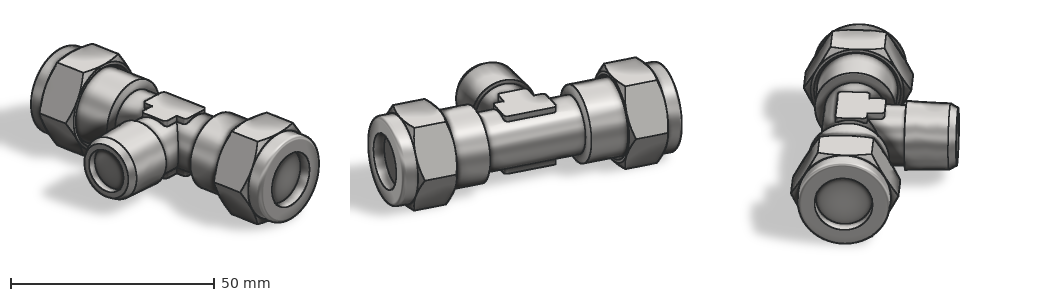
import cadquery as cq
import math

RUN_HALF_LENGTH = 37.5
RUN_RADIUS = 7.5
COLLAR_START = 13.0
COLLAR_RADIUS = 9.95
COLLAR_SHOULDER_LENGTH = 0.45
COLLAR_CHAMFER_LENGTH = 0.1
COLLAR_CHAMFER_DEPTH = 0.3

NUT_INNER_END = 23.0
NUT_OUTER_END = 33.5
NUT_ACROSS_FLATS = 23.0
NUT_ACROSS_CORNERS = NUT_ACROSS_FLATS / math.cos(math.pi / 6)
NUT_FACE_RADIUS = NUT_ACROSS_FLATS / 2
NUT_RECESS_RADIUS = 10.7
NUT_RECESS_DEPTH = 1.0
NUT_CHAMFER_ANGLE = math.radians(30)
RIM_RADIUS = 11.4
RIM_FILLET = 1.0

SOCKET_MOUTH_RADIUS = 7.15
SOCKET_FLOOR_RADIUS = 6.95
SOCKET_DEPTH = 2.8

BRANCH_RADIUS = 7.5
BRANCH_END = 26.0
THREAD_START = 13.3
THREAD_RADIUS = 8.55
THREAD_TAPER = 1 / 16
THREAD_CHAMFER_LENGTH = 1.9
THREAD_TIP_RADIUS = 7.15
BRANCH_BORE_RADIUS = 5.6
BRANCH_BORE_DEPTH = 2.2

PAD_HEIGHT = 8.0
PAD_WIDTH = 14.0
PAD_BACK = 3.8
PAD_SHOULDER = 4.0
PAD_STEM_WIDTH = 8.0
PAD_STEM_END = 8.2
PAD_CORNER_RADIUS = 1.0


def revolved_about_x(points):
    """Full revolution about X of a closed profile of (x, radius) points."""
    return cq.Workplane("XY").polyline(points).close().revolve(360, (0, 0, 0), (1, 0, 0))


def make_nut():
    """Hexagonal nut with its corners along Y, turned down conically at both ends.

    A conical recess in the inner face surrounds the collar.
    """
    length = NUT_OUTER_END - NUT_INNER_END
    hexagon = (
        cq.Workplane("YZ", origin=(NUT_INNER_END, 0, 0))
        .polygon(6, NUT_ACROSS_CORNERS)
        .extrude(length)
    )
    corner_radius = NUT_ACROSS_CORNERS / 2
    chamfer_length = (corner_radius - NUT_FACE_RADIUS) * math.tan(NUT_CHAMFER_ANGLE)
    envelope = revolved_about_x([
        (NUT_INNER_END, 0),
        (NUT_INNER_END, NUT_FACE_RADIUS),
        (NUT_INNER_END + chamfer_length, corner_radius),
        (NUT_OUTER_END - chamfer_length, corner_radius),
        (NUT_OUTER_END, NUT_FACE_RADIUS),
        (NUT_OUTER_END, 0),
    ])
    recess = revolved_about_x([
        (NUT_INNER_END, 0),
        (NUT_INNER_END, NUT_RECESS_RADIUS),
        (NUT_INNER_END + NUT_RECESS_DEPTH, COLLAR_RADIUS),
        (NUT_INNER_END + NUT_RECESS_DEPTH, 0),
    ])
    return hexagon.intersect(envelope).cut(recess)


def make_run_end():
    """Collar, nut, rounded rim and blind socket on the +X end of the run."""
    shoulder_end = COLLAR_START + COLLAR_SHOULDER_LENGTH
    collar = revolved_about_x([
        (COLLAR_START, 0),
        (COLLAR_START, RUN_RADIUS),
        (shoulder_end, COLLAR_RADIUS - COLLAR_CHAMFER_DEPTH),
        (shoulder_end + COLLAR_CHAMFER_LENGTH, COLLAR_RADIUS),
        (NUT_OUTER_END, COLLAR_RADIUS),
        (NUT_OUTER_END, 0),
    ])
    rim = (
        cq.Workplane("YZ", origin=(NUT_OUTER_END, 0, 0))
        .circle(RIM_RADIUS)
        .extrude(RUN_HALF_LENGTH - NUT_OUTER_END)
        .faces(">X").edges().fillet(RIM_FILLET)
    )
    socket_floor = RUN_HALF_LENGTH - SOCKET_DEPTH
    socket = revolved_about_x([
        (socket_floor, 0),
        (socket_floor, SOCKET_FLOOR_RADIUS),
        (RUN_HALF_LENGTH, SOCKET_MOUTH_RADIUS),
        (RUN_HALF_LENGTH, 0),
    ])
    return collar.union(make_nut()).union(rim).cut(socket)


def make_run():
    """Plain cylinder joining the two collars."""
    return (
        cq.Workplane("YZ", origin=(-COLLAR_START, 0, 0))
        .circle(RUN_RADIUS)
        .extrude(2 * COLLAR_START)
    )


def make_branch():
    """Neck and tapered thread body, with a chamfered tip and a blind bore."""
    thread_end = BRANCH_END - THREAD_CHAMFER_LENGTH
    thread_end_radius = THREAD_RADIUS - (thread_end - THREAD_START) * THREAD_TAPER / 2
    bore_floor = BRANCH_END - BRANCH_BORE_DEPTH
    profile = [
        (0, 0),
        (BRANCH_RADIUS, 0),
        (BRANCH_RADIUS, -THREAD_START),
        (THREAD_RADIUS, -THREAD_START),
        (thread_end_radius, -thread_end),
        (THREAD_TIP_RADIUS, -BRANCH_END),
        (BRANCH_BORE_RADIUS, -BRANCH_END),
        (BRANCH_BORE_RADIUS, -bore_floor),
        (0, -bore_floor),
    ]
    return cq.Workplane("XY").polyline(profile).close().revolve(360, (0, 0, 0), (0, 1, 0))


def make_pads():
    """One T-shaped block through the junction; its two ends are the pads."""
    half_width = PAD_WIDTH / 2
    half_stem = PAD_STEM_WIDTH / 2
    outline = [
        (-half_width, PAD_BACK),
        (half_width, PAD_BACK),
        (half_width, -PAD_SHOULDER),
        (half_stem, -PAD_SHOULDER),
        (half_stem, -PAD_STEM_END),
        (-half_stem, -PAD_STEM_END),
        (-half_stem, -PAD_SHOULDER),
        (-half_width, -PAD_SHOULDER),
    ]
    return (
        cq.Workplane("XY", origin=(0, 0, -PAD_HEIGHT))
        .polyline(outline).close()
        .extrude(2 * PAD_HEIGHT)
        .edges("|Z and (<X or >X or <Y)")
        .fillet(PAD_CORNER_RADIUS)
    )


run_end = make_run_end()
result = (
    make_run()
    .union(make_branch())
    .union(make_pads())
    .union(run_end)
    .union(run_end.mirror("YZ"))
)